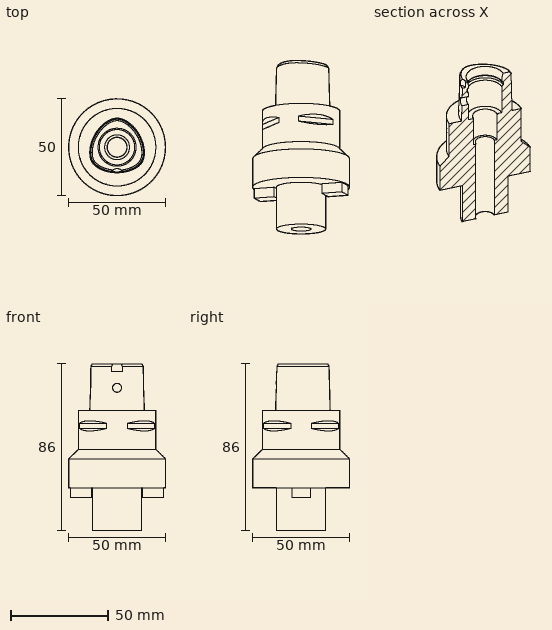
import cadquery as cq
import math


shank_height = 24.0
shank_mean_diameter = 28.2
lobe_eccentricity = 0.92
taper_ratio = 1 / 20
tip_chamfer_height = 1.4
tip_chamfer_inset = 0.75
outline_points = 24

collar_diameter = 40.0
flange_diameter = 50.0
spigot_diameter = 25.4
cone_top_z = -20.1
flange_top_z = -25.0
flange_bottom_z = -40.0
spigot_bottom_z = -62.0

key_width = 9.6
key_height = 5.0
key_inner_x = 13.0
key_outer_x = 24.0

slot_count = 4
slot_first_angle = 45.0
slot_z = -8.0
slot_floor_distance = 17.4
slot_floor_width = 2.6
slot_flank_angle = 27.0

mouth_radius = 9.8
bore_radius = 9.1
mouth_depth = 3.3
groove_wall_depth = 0.9
groove_top_depth = 4.9
groove_bottom_depth = 8.0
bore_depth = shank_height
thread_radius = 6.4
thread_depth = 40.0
through_radius = 5.05

cross_hole_diameter = 4.6
cross_hole_drop = 12.4
cross_hole_floor_y = -9.5
notch_radius = 3.35
notch_centre_y = -14.35
notch_depth = 4.0


def shank_outline(z, mean_radius):
    """Closed wire at height z: a curve of constant width 2 * mean_radius with three lobes."""

    def point(index):
        angle = 2 * math.pi * index / outline_points
        e = lobe_eccentricity
        along_lobe = mean_radius * math.cos(angle) + 2 * e * math.cos(2 * angle) - e * math.cos(4 * angle)
        across_lobe = mean_radius * math.sin(angle) - 2 * e * math.sin(2 * angle) - e * math.sin(4 * angle)
        return cq.Vector(-across_lobe, along_lobe, z)

    edge = cq.Edge.makeSpline([point(i) for i in range(outline_points)], periodic=True)
    return cq.Wire.assembleEdges([edge])


def make_shank():
    chamfer_z = shank_height - tip_chamfer_height
    base_radius = shank_mean_diameter / 2
    chamfer_radius = base_radius - chamfer_z * taper_ratio / 2
    base = shank_outline(0, base_radius)
    chamfer_start = shank_outline(chamfer_z, chamfer_radius)
    tip = shank_outline(shank_height, chamfer_radius - tip_chamfer_inset)
    taper = cq.Solid.makeLoft([base, chamfer_start], True)
    chamfer = cq.Solid.makeLoft([chamfer_start, tip], True)
    return cq.Workplane(taper).union(cq.Workplane(chamfer))


def make_body():
    profile = [
        (0, 0),
        (collar_diameter / 2, 0),
        (collar_diameter / 2, cone_top_z),
        (flange_diameter / 2, flange_top_z),
        (flange_diameter / 2, flange_bottom_z),
        (spigot_diameter / 2, flange_bottom_z),
        (spigot_diameter / 2, spigot_bottom_z),
        (0, spigot_bottom_z),
    ]
    return cq.Workplane("XZ").polyline(profile).close().revolve(360, (0, 0), (0, 1))


def make_key(side):
    """Rectangular key; side is +1 for +X and -1 for -X."""
    length = key_outer_x - key_inner_x
    centre_x = side * (key_inner_x + key_outer_x) / 2
    centre_z = flange_bottom_z - key_height / 2
    return cq.Workplane("XY").box(length, key_width, key_height).translate((centre_x, 0, centre_z))


def make_slot(angle):
    """Straight trapezoidal slot cut across the collar at the given angle about Z."""
    outer_x = flange_diameter / 2
    floor_half = slot_floor_width / 2
    flank_rise = (outer_x - slot_floor_distance) * math.tan(math.radians(slot_flank_angle))
    mouth_half = floor_half + flank_rise
    profile = [
        (slot_floor_distance, slot_z - floor_half),
        (outer_x, slot_z - mouth_half),
        (outer_x, slot_z + mouth_half),
        (slot_floor_distance, slot_z + floor_half),
    ]
    slot = cq.Workplane("XZ").polyline(profile).close().extrude(collar_diameter / 2, both=True)
    return slot.rotate((0, 0, 0), (0, 0, 1), angle)


def make_bore():
    groove_radius = bore_radius + groove_wall_depth
    profile = [
        (0, shank_height),
        (mouth_radius, shank_height),
        (bore_radius, shank_height - mouth_depth),
        (bore_radius, shank_height - groove_top_depth),
        (groove_radius, shank_height - groove_top_depth - groove_wall_depth),
        (groove_radius, shank_height - groove_bottom_depth + groove_wall_depth),
        (bore_radius, shank_height - groove_bottom_depth),
        (bore_radius, shank_height - bore_depth),
        (thread_radius, shank_height - bore_depth),
        (thread_radius, shank_height - thread_depth),
        (through_radius, shank_height - thread_depth),
        (through_radius, spigot_bottom_z),
        (0, spigot_bottom_z),
    ]
    return cq.Workplane("XZ").polyline(profile).close().revolve(360, (0, 0), (0, 1))


def make_cross_hole():
    """Blind flat-bottomed hole drilled radially into the -Y wall."""
    floor_plane = cq.Workplane("XZ", origin=(0, cross_hole_floor_y, 0))
    hole = floor_plane.center(0, shank_height - cross_hole_drop)
    return hole.circle(cross_hole_diameter / 2).extrude(shank_mean_diameter)


def make_notch():
    notch = cq.Workplane("XY").workplane(offset=shank_height - notch_depth)
    return notch.center(0, notch_centre_y).circle(notch_radius).extrude(notch_depth)


result = make_body().union(make_shank())
for side in (-1, 1):
    result = result.union(make_key(side))
for index in range(slot_count):
    result = result.cut(make_slot(slot_first_angle + index * 360 / slot_count))
result = result.cut(make_bore()).cut(make_cross_hole()).cut(make_notch())